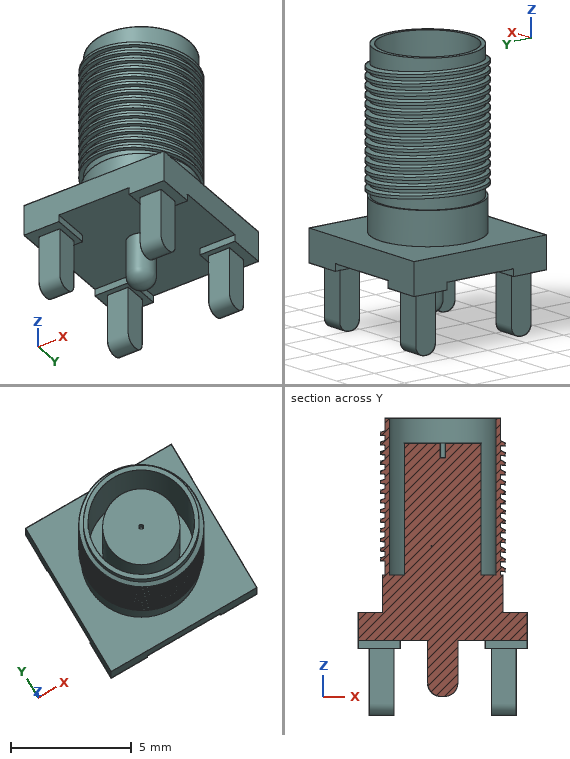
import cadquery as cq

plate_size = 7.0
plate_thickness = 1.5
relief_width = 3.5
relief_depth = 0.33

leg_spacing = 5.06
leg_width = 1.04
leg_length = 2.77
leg_tip_radius = 0.47

contact_diameter = 1.27
contact_reach = 1.99
contact_tip_radius = 0.57

collar_diameter = 5.0
collar_height = 1.55
barrel_diameter = 4.8
barrel_length = 6.5
bore_diameter = 4.4

insulator_diameter = 3.2
insulator_recess = 1.04
pin_diameter = 0.6
pin_hole_diameter = 0.2
pin_hole_depth = 0.6

thread_diameter = 5.2
thread_pitch = 0.4
thread_count = 14
thread_tilt = 5.0
thread_crest_width = 0.13
thread_flank_slope = 0.45
thread_first_drop = 0.94
root_overlap = 0.1

plate_bottom = -plate_thickness
barrel_bottom = collar_height
barrel_top = barrel_bottom + barrel_length
insulator_top = barrel_top - insulator_recess


def cylinder(diameter, bottom, top):
    """Upright cylinder on the Z axis between two heights."""
    return cq.Workplane("XY").workplane(offset=bottom).circle(diameter / 2).extrude(top - bottom)


def make_plate():
    """Square plate with a cross-shaped relief in its underside."""
    plate = cq.Workplane("XY").rect(plate_size, plate_size).extrude(-plate_thickness)
    channels = [(plate_size, relief_width), (relief_width, plate_size)]
    for length_x, length_y in channels:
        relief = cq.Workplane("XY").workplane(offset=plate_bottom).rect(length_x, length_y)
        plate = plate.cut(relief.extrude(relief_depth))
    return plate


def make_legs():
    """Four square legs, each tip rounded about the X direction."""
    legs = (
        cq.Workplane("XY")
        .workplane(offset=plate_bottom)
        .rect(leg_spacing, leg_spacing, forConstruction=True)
        .vertices()
        .rect(leg_width, leg_width)
        .extrude(-leg_length)
    )
    return legs.faces("<Z").edges("|X").fillet(leg_tip_radius)


def make_contact():
    """Round contact with a rounded tip, hanging from the relief floor."""
    contact = cylinder(contact_diameter, plate_bottom - contact_reach, plate_bottom + relief_depth)
    return contact.faces("<Z").edges().fillet(contact_tip_radius)


def make_barrel():
    """Collar and thin-walled barrel; the bore stops at the collar."""
    barrel = cylinder(collar_diameter, 0, barrel_bottom)
    barrel = barrel.union(cylinder(barrel_diameter, barrel_bottom, barrel_top))
    return barrel.cut(cylinder(bore_diameter, barrel_bottom, barrel_top))


def make_thread_ring(underside_height):
    """Tilted ring with a flat underside and a sloped upper flank."""
    crest = thread_diameter / 2
    inner = barrel_diameter / 2 - root_overlap
    inner_width = thread_crest_width + (crest - inner) * thread_flank_slope
    ring = (
        cq.Workplane("XZ")
        .moveTo(inner, 0)
        .lineTo(crest, 0)
        .lineTo(crest, thread_crest_width)
        .lineTo(inner, inner_width)
        .close()
        .revolve(360, (0, 0), (0, 1))
    )
    return ring.rotate((0, 0, 0), (0, 1, 0), thread_tilt).translate((0, 0, underside_height))


def make_insulator():
    """Insulator post with the pin's end face flush in its top."""
    insulator = cylinder(insulator_diameter, barrel_bottom, insulator_top)
    insulator = insulator.cut(cylinder(pin_diameter, barrel_bottom, insulator_top))
    pin = cylinder(pin_diameter, barrel_bottom, insulator_top)
    pin = pin.cut(cylinder(pin_hole_diameter, insulator_top - pin_hole_depth, insulator_top))
    return insulator.union(pin, clean=False)


body = make_plate().union(make_legs()).union(make_contact()).union(make_barrel())
for ring_index in range(thread_count):
    body = body.union(make_thread_ring(barrel_top - thread_first_drop - ring_index * thread_pitch))

result = body.union(make_insulator(), clean=False)